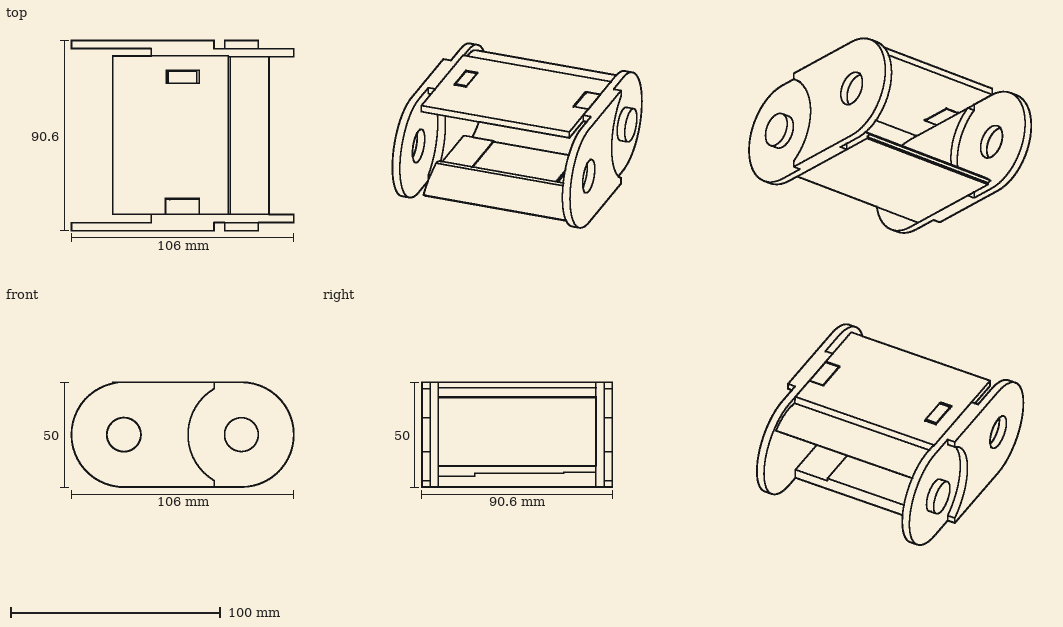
import cadquery as cq
import math

length = 106.0
height = 50.0
width = 90.6
end_radius = height / 2
pivot_x = (length - height) / 2
pivot_diameter = 16.1

inner_width = 75.0
layer_joint_y = 41.4
relief_radius = 25.4
layer_end_x = 15.0
inner_y = inner_width / 2
outer_y = width / 2

cover_start_x = -33.4
cover_end_x = 21.8
cover_thickness = 3.3
cover_overhang = 0.4
tail_start_x = 22.8
tail_outer_radius = 22.4
tail_end_angle = 36.0
cover_bottom_z = end_radius - cover_thickness
cover_back_y = inner_y + cover_overhang

tab_length = 15.9
tab_reach = 7.2
tab_gap = 0.4
tab_drop = 0.2

latch_length = 13.6
latch_front_y = 25.0
latch_back_y = 30.7
window_length = 15.8
window_back_y = 31.0
latch_arm_thickness = 1.6

lip_tip = (-32.0, -23.6)
lip_root = (-30.1, -24.2)
ramp_foot = (-29.1, -21.3)
ramp_mid = (-26.4, -19.4)
ramp_knee = (-23.7, -18.0)
ridge_x = -15.0
ridge_z = -14.8
ridge_radius = 10.4
floor_end_x = cover_end_x
front_floor_z = -19.9
middle_floor_z = -18.4
back_floor_z = -18.0
middle_floor_start_y = -20.1
back_floor_start_y = 22.3


def block(x_range, y_range, z_range):
    """Box given by its limits along each axis."""
    size = [high - low for low, high in (x_range, y_range, z_range)]
    low_corner = (x_range[0], y_range[0], z_range[0])
    return cq.Workplane("XY").box(*size, centered=False).translate(low_corner)


def cylinder_y(x, diameter, y_start, y_end):
    """Cylinder along Y, centred on height zero."""
    base = cq.Workplane("XZ", origin=(x, y_start, 0)).circle(diameter / 2)
    return base.extrude(y_start - y_end)


def extrude_y(profile, y_start, y_end):
    """Extrude a closed XZ profile between two Y positions."""
    return profile.extrude(-(y_end - y_start)).translate((0, y_start, 0))


def plate_layer(side, y_start, y_end):
    """Layer rounded about the pivot at side * pivot_x, relieved about the other pivot."""
    x_limits = sorted((side * pivot_x, -side * layer_end_x))
    bar = block(x_limits, (y_start, y_end), (-end_radius, end_radius))
    rounded_end = cylinder_y(side * pivot_x, height, y_start, y_end)
    relief = cylinder_y(-side * pivot_x, 2 * relief_radius, y_start, y_end)
    return bar.cut(relief).union(rounded_end)


def make_plate_blank():
    """Side plate on the +Y side, without tab or latch."""
    outer_layer = plate_layer(-1, layer_joint_y, outer_y)
    outer_layer = outer_layer.cut(cylinder_y(-pivot_x, pivot_diameter, layer_joint_y, outer_y))
    inner_layer = plate_layer(1, inner_y, layer_joint_y)
    pin = cylinder_y(pivot_x, pivot_diameter, layer_joint_y, outer_y)
    return outer_layer.union(inner_layer).union(pin)


def make_cover_blank():
    """Flat cover and thin curved tail, before the notch and latch window are cut."""
    def tail_point(radius, angle):
        radians = math.radians(angle)
        return pivot_x + radius * math.sin(radians), radius * math.cos(radians)

    tail_start_angle = math.degrees(math.asin((tail_start_x - pivot_x) / tail_outer_radius))
    tail_mid_angle = (tail_start_angle + tail_end_angle) / 2
    profile = (
        cq.Workplane("XZ")
        .moveTo(cover_start_x, cover_bottom_z)
        .lineTo(cover_start_x, end_radius)
        .lineTo(cover_end_x, end_radius)
        .lineTo(*tail_point(tail_outer_radius, tail_start_angle))
        .threePointArc(tail_point(tail_outer_radius, tail_mid_angle),
                       tail_point(tail_outer_radius, tail_end_angle))
        .lineTo(*tail_point(cover_bottom_z, tail_end_angle))
        .threePointArc(tail_point(cover_bottom_z, tail_end_angle / 2), (pivot_x, cover_bottom_z))
        .close()
    )
    return extrude_y(profile, -inner_y, cover_back_y)


def make_front_plate():
    """Plate on the -Y side with the hinge tab along its top edge."""
    tab = block((-tab_length / 2, tab_length / 2), (-inner_y, tab_reach - inner_y),
                (cover_bottom_z, end_radius - tab_drop))
    return make_plate_blank().mirror("XZ").union(tab)


def make_latch():
    """Arm running under the cover, with a hook that rises to the top surface."""
    latch_x = (-latch_length / 2, latch_length / 2)
    arm = block(latch_x, (latch_front_y, cover_back_y),
                (cover_bottom_z, cover_bottom_z + latch_arm_thickness))
    hook = block(latch_x, (latch_front_y, latch_back_y), (cover_bottom_z, end_radius))
    return arm.union(hook)


def make_back_plate():
    """Plate on the +Y side, recessed for the cover edge and carrying the latch."""
    return make_plate_blank().cut(make_cover_blank()).union(make_latch())


def make_cover():
    """Cover with the hinge notch and the latch window."""
    notch = block((-tab_length / 2 - tab_gap, tab_length / 2),
                  (-inner_y, tab_reach + tab_gap - inner_y), (cover_bottom_z, end_radius))
    window = block((-window_length / 2, window_length / 2), (latch_front_y, window_back_y),
                   (cover_bottom_z, end_radius))
    return make_cover_blank().cut(notch).cut(window).cut(make_latch())


def make_floor():
    """Floor with a ramped lip, a rounded ridge and a top that steps up twice along Y."""
    def ridge_arc_point(z):
        height_above_centre = z - (ridge_z - ridge_radius)
        return ridge_x + math.sqrt(ridge_radius**2 - height_above_centre**2), z

    profile = (
        cq.Workplane("XZ")
        .moveTo(lip_root[0], -end_radius)
        .lineTo(*lip_root)
        .lineTo(*lip_tip)
        .lineTo(*ramp_foot)
        .threePointArc(ramp_mid, ramp_knee)
        .lineTo(ridge_x, ridge_z)
        .threePointArc(ridge_arc_point(middle_floor_z), ridge_arc_point(front_floor_z))
        .lineTo(floor_end_x, front_floor_z)
        .lineTo(floor_end_x, -end_radius)
        .close()
    )
    raised_x = (ridge_x, floor_end_x)
    middle = block(raised_x, (middle_floor_start_y, back_floor_start_y), (front_floor_z, middle_floor_z))
    back = block(raised_x, (back_floor_start_y, inner_y), (front_floor_z, back_floor_z))
    return extrude_y(profile, -inner_y, inner_y).union(middle).union(back)


front_plate = make_front_plate()
back_plate = make_back_plate()
cover = make_cover()
floor = make_floor()

result = cq.Compound.makeCompound([front_plate.val(), back_plate.val(), cover.val(), floor.val()])